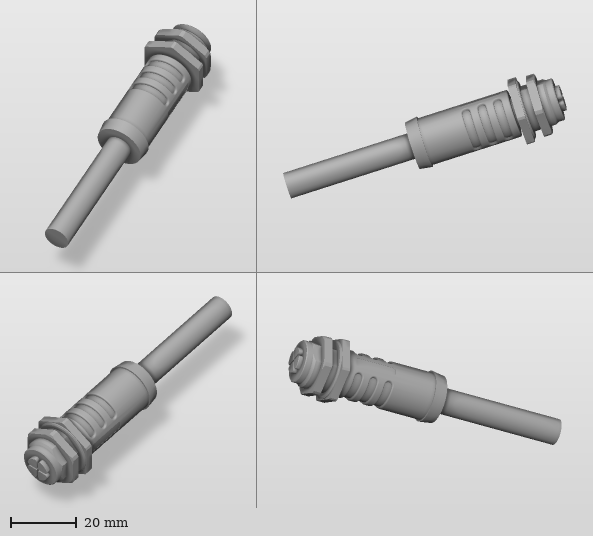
import cadquery as cq
import math

TOTAL_LENGTH = 88.5

TOLERANCE = 0.01

INSERT_DIAMETER = 8.1
INSERT_CHAMFER = 0.3
INSERT_SLOT_WIDTH = 0.6
INSERT_SLOT_ROUNDING = 0.9

NOSE_START = 1.4
NOSE_DIAMETER = 13.4
NOSE_CHAMFER = 0.3
CONE_START = 3.5
CONE_END = 4.3
BARREL_DIAMETER = 15.0
BARREL_FLAT_ANGLES = (0, 135, 180)

NUT_START = 6.2
NUT_END = 8.9
NUT_ACROSS_FLATS = 18.0
NUT_CORNER_DIAMETER = 20.1
NUT_CHAMFER_LENGTH = 0.35
NUT_CHAMFER_DEPTH = 0.6

WASHER_START = 11.5
WASHER_BEVEL_LENGTH = 0.3
WASHER_FRONT_DIAMETER = 17.5
WASHER_DIAMETER = 18.6
FLANGE_START = 12.0
FLANGE_END = 14.6
FLANGE_ACROSS_FLATS = 19.0
FLANGE_CORNER_DIAMETER = 21.5

NECK_DIAMETER = 9.4

SLEEVE_START = 15.5
SLEEVE_DIAMETER = 15.0
SLEEVE_FRONT_ROUNDING = 0.5
SKIRT_START = 44.3
SKIRT_END = 48.3
SKIRT_DIAMETER = 16.1
CABLE_DIAMETER = 8.1

GROOVE_COUNT = 3
GROOVE_PITCH = 5.05
FIRST_GROOVE = 19.2
GROOVE_WIDTH = 2.5
GROOVE_FLOOR_DIAMETER = 13.5
GROOVE_END_HEIGHT = 3.3
GROOVE_ROUNDING = 0.4

PANEL_START = 17.7
PANEL_END = 30.8
PANEL_WIDTH = 3.0
PANEL_DISTANCE = 7.3
PANEL_CORNER_RADIUS = 0.7


def axis_distance(point):
    """Radial distance of a point from the connector axis."""
    return math.hypot(point.x, point.z)


def disc(diameter, start, end):
    """Round bar on the connector axis between two stations."""
    return cq.Workplane("XZ", origin=(0, -start, 0)).circle(diameter / 2).extrude(end - start)


def taper(front_diameter, back_diameter, start, end):
    """Cone frustum on the connector axis between two stations."""
    outline = [
        (0, -start),
        (front_diameter / 2, -start),
        (back_diameter / 2, -end),
        (0, -end),
    ]
    return cq.Workplane("XY").polyline(outline).close().revolve(360, (0, 0, 0), (0, 1, 0))


def hexagon(across_flats, start, end):
    """Hexagonal prism with corners pointing along +Z and -Z."""
    across_corners = across_flats / math.cos(math.pi / 6)
    prism = cq.Workplane("XZ").polygon(6, across_corners).extrude(end - start)
    return prism.rotate((0, 0, 0), (0, 1, 0), 30).translate((0, -start, 0))


def is_slot_mouth(edge):
    """True for the edges where the slots break the outside of the insert."""
    return axis_distance(edge.Center()) > INSERT_DIAMETER / 4


def contact_insert():
    insert = disc(INSERT_DIAMETER, 0, NOSE_START)
    slot = cq.Workplane("XZ").rect(INSERT_SLOT_WIDTH, 2 * INSERT_DIAMETER).extrude(NOSE_START)
    crossing_slot = slot.rotate((0, 0, 0), (0, 1, 0), 90)
    split = insert.cut(slot).cut(crossing_slot)
    rounded = split.edges("|Y").filter(is_slot_mouth).fillet(INSERT_SLOT_ROUNDING)
    rim = taper(INSERT_DIAMETER - INSERT_CHAMFER, INSERT_DIAMETER, 0, INSERT_CHAMFER)
    return rounded.intersect(rim.union(disc(INSERT_DIAMETER, INSERT_CHAMFER, NOSE_START)))


def threaded_barrel():
    barrel = disc(NOSE_DIAMETER, NOSE_START, CONE_START).faces(">Y").chamfer(NOSE_CHAMFER)
    barrel = barrel.union(taper(NOSE_DIAMETER, BARREL_DIAMETER, CONE_START, CONE_END))
    barrel = barrel.union(disc(BARREL_DIAMETER, CONE_END, WASHER_START))
    length = WASHER_START - CONE_START
    for angle in BARREL_FLAT_ANGLES:
        waste = (
            cq.Workplane("XY")
            .box(BARREL_DIAMETER, length, BARREL_DIAMETER, centered=(False, False, True))
            .translate((NOSE_DIAMETER / 2, -WASHER_START, 0))
            .rotate((0, 0, 0), (0, 1, 0), -angle)
        )
        barrel = barrel.cut(waste)
    return barrel


def lock_nut():
    bevel_end = NUT_START + NUT_CHAMFER_LENGTH
    front_diameter = NUT_CORNER_DIAMETER - 2 * NUT_CHAMFER_DEPTH
    envelope = taper(front_diameter, NUT_CORNER_DIAMETER, NUT_START, bevel_end)
    envelope = envelope.union(disc(NUT_CORNER_DIAMETER, bevel_end, NUT_END))
    return hexagon(NUT_ACROSS_FLATS, NUT_START, NUT_END).intersect(envelope)


def flange():
    bevel_end = WASHER_START + WASHER_BEVEL_LENGTH
    washer = taper(WASHER_FRONT_DIAMETER, WASHER_DIAMETER, WASHER_START, bevel_end)
    washer = washer.union(disc(WASHER_DIAMETER, bevel_end, FLANGE_START))
    envelope = disc(FLANGE_CORNER_DIAMETER, FLANGE_START, FLANGE_END)
    return washer.union(hexagon(FLANGE_ACROSS_FLATS, FLANGE_START, FLANGE_END).intersect(envelope))


def finger_groove(station, side):
    """Cutter for one groove: a round-ended slot seen along X, down to a round floor."""
    end_radius = GROOVE_WIDTH / 2
    arc_centre = GROOVE_END_HEIGHT + end_radius
    slot = (
        cq.Workplane("YZ", origin=(-SLEEVE_DIAMETER, 0, 0))
        .moveTo(-station - end_radius, side * SLEEVE_DIAMETER)
        .lineTo(-station - end_radius, side * arc_centre)
        .threePointArc((-station, side * GROOVE_END_HEIGHT), (-station + end_radius, side * arc_centre))
        .lineTo(-station + end_radius, side * SLEEVE_DIAMETER)
        .close()
        .extrude(2 * SLEEVE_DIAMETER)
    )
    return slot.cut(disc(GROOVE_FLOOR_DIAMETER, SLEEVE_START, SKIRT_START))


def side_panel(side):
    """Cutter for the flat panel on the +X or -X side of the sleeve."""
    block = (
        cq.Workplane("XY")
        .box(SLEEVE_DIAMETER, PANEL_END - PANEL_START, PANEL_WIDTH)
        .edges("|X")
        .fillet(PANEL_CORNER_RADIUS)
    )
    mid_station = (PANEL_START + PANEL_END) / 2
    return block.translate((side * (PANEL_DISTANCE + SLEEVE_DIAMETER / 2), -mid_station, 0))


def is_groove_mouth(edge):
    """True for the curved edges where the grooves break the outer sleeve surface."""
    behind_front_rounding = edge.Center().y < -SLEEVE_START - SLEEVE_FRONT_ROUNDING - TOLERANCE
    ahead_of_skirt = edge.Center().y > -SKIRT_START + TOLERANCE
    on_surface = axis_distance(edge.startPoint()) > SLEEVE_DIAMETER / 2 - TOLERANCE
    return edge.geomType() != "LINE" and behind_front_rounding and ahead_of_skirt and on_surface


def grip_sleeve():
    sleeve = disc(SLEEVE_DIAMETER, SLEEVE_START, SKIRT_START)
    sleeve = sleeve.faces(">Y").edges().fillet(SLEEVE_FRONT_ROUNDING)
    for index in range(GROOVE_COUNT):
        station = FIRST_GROOVE + index * GROOVE_PITCH
        for side in (1, -1):
            sleeve = sleeve.cut(finger_groove(station, side))
    sleeve = sleeve.edges().filter(is_groove_mouth).fillet(GROOVE_ROUNDING)
    for side in (1, -1):
        sleeve = sleeve.cut(side_panel(side))
    return sleeve


result = (
    contact_insert()
    .union(threaded_barrel())
    .union(lock_nut())
    .union(flange())
    .union(disc(NECK_DIAMETER, FLANGE_END, SLEEVE_START))
    .union(grip_sleeve())
    .union(taper(SKIRT_DIAMETER, SLEEVE_DIAMETER, SKIRT_START, SKIRT_END))
    .union(disc(CABLE_DIAMETER, SKIRT_END, TOTAL_LENGTH))
)